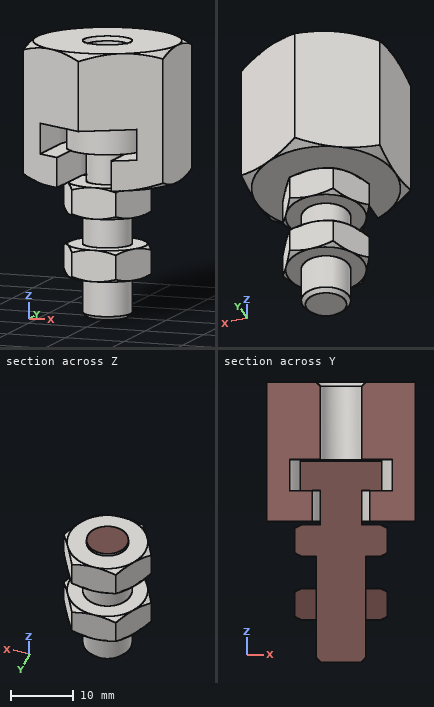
import cadquery as cq
import math


total_height = 45.2

hex_sides = 6
hex_chamfer_angle = 30.0
housing_across_flats = 24.0
nut_across_flats = 13.0

housing_height = 22.5
slot_roof_depth = 12.5
slot_ledge_depth = 17.55
head_slot_width = 16.5
neck_slot_width = 9.25
thread_diameter = 8.0
bore_diameter = 6.65

head_diameter = 13.2
head_clearance = 0.25
neck_diameter = 6.83
collar_gap = 0.5
nut_height = 5.15
tip_chamfer = 0.7

nut_bottom = 6.8

housing_bottom = total_height - housing_height
slot_roof = total_height - slot_roof_depth
slot_ledge = total_height - slot_ledge_depth
head_top = slot_roof - head_clearance
collar_top = housing_bottom - collar_gap
collar_bottom = collar_top - nut_height


def disc(diameter, bottom, top):
    """Cylinder on the Z axis between two levels."""
    return cq.Workplane("XY").workplane(offset=bottom).circle(diameter / 2).extrude(top - bottom)


def chamfered_hexagon(across_flats, bottom, height):
    """Hexagonal prism with corners on the X axis, both ends turned down to a circle touching the flats."""
    flat_radius = across_flats / 2
    corner_radius = flat_radius / math.cos(math.pi / hex_sides)
    corner_drop = (corner_radius - flat_radius) * math.tan(math.radians(hex_chamfer_angle))
    prism = cq.Workplane("XY").polygon(hex_sides, 2 * corner_radius).extrude(height)
    turned_blank = (
        cq.Workplane("XZ")
        .moveTo(0, 0)
        .lineTo(flat_radius, 0)
        .lineTo(corner_radius, corner_drop)
        .lineTo(corner_radius, height - corner_drop)
        .lineTo(flat_radius, height)
        .lineTo(0, height)
        .close()
        .revolve(360, (0, 0, 0), (0, 1, 0))
    )
    return prism.intersect(turned_blank).translate((0, 0, bottom))


def side_slot(width, bottom, top):
    """Slot with a round end on the Z axis, open toward -Y."""
    channel = (
        cq.Workplane("XY")
        .box(width, housing_across_flats, top - bottom, centered=(True, False, False))
        .translate((0, -housing_across_flats, bottom))
    )
    return channel.union(disc(width, bottom, top))


def make_housing():
    """Hexagonal housing with corners on the Y axis, a T-slot for the stud and a bore in the top face."""
    blank = chamfered_hexagon(housing_across_flats, housing_bottom, housing_height)
    blank = blank.rotate((0, 0, 0), (0, 0, 1), 180 / hex_sides)

    slotted = blank.cut(side_slot(head_slot_width, slot_ledge, slot_roof))
    slotted = slotted.cut(side_slot(neck_slot_width, housing_bottom, slot_ledge))

    mouth_chamfer = (thread_diameter - bore_diameter) / 2
    bore = disc(bore_diameter, slot_roof, total_height)
    mouth = cq.Workplane(
        cq.Solid.makeCone(
            bore_diameter / 2,
            thread_diameter / 2,
            mouth_chamfer,
            pnt=cq.Vector(0, 0, total_height - mouth_chamfer),
        )
    )
    return slotted.cut(bore).cut(mouth)


def make_stud():
    """Stud with a round head resting on the slot ledge, a neck, a hexagonal collar and a chamfered shank."""
    head = disc(head_diameter, slot_ledge, head_top)
    neck = disc(neck_diameter, collar_top, slot_ledge)
    collar = chamfered_hexagon(nut_across_flats, collar_bottom, nut_height)
    shank = disc(thread_diameter, 0, collar_bottom).faces("<Z").chamfer(tip_chamfer)
    return head.union(neck).union(collar).union(shank)


def make_lock_nut():
    """Hexagonal nut fitting the stud shank."""
    blank = chamfered_hexagon(nut_across_flats, nut_bottom, nut_height)
    return blank.cut(disc(thread_diameter, nut_bottom, nut_bottom + nut_height))


housing = make_housing()
stud = make_stud()
lock_nut = make_lock_nut()

result = cq.Compound.makeCompound([housing.val(), stud.val(), lock_nut.val()])